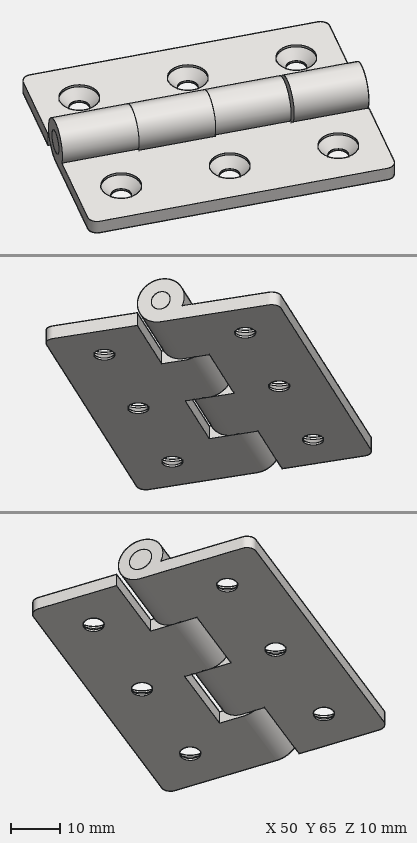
import cadquery as cq


hinge_length = 65.0
hinge_width = 50.0
leaf_thickness = 3.0
corner_radius = 2.0

knuckle_diameter = 10.0
knuckle_radius = knuckle_diameter / 2
axis_height = knuckle_radius

front_end = -hinge_length / 2
back_end = hinge_length / 2
front_joint = -hinge_length / 4
middle_joint = 0.0
back_joint = 16.0
lift_gap = 0.65
back_knuckle_start = back_joint + lift_gap

right_knuckles = [(front_end, front_joint), (middle_joint, back_joint)]
left_knuckles = [(front_joint, middle_joint), (back_knuckle_start, back_end)]

right_notches = [(front_joint, middle_joint), (back_joint, back_end)]
left_notches = [(front_end, front_joint), (middle_joint, back_knuckle_start)]
right_notch_depth = knuckle_radius
left_notch_depth = 5.4

shank_diameter = 5.0
journal_diameter = 4.0

screw_hole_diameter = 4.3
screw_head_diameter = 8.3
screw_lip_depth = 0.5
screw_cone_depth = (screw_head_diameter - screw_hole_diameter) / 2
screw_x = 15.0
screw_pitch = 23.0


def axis_cylinder(diameter, start, end):
    """Cylinder on the hinge axis between two Y stations."""
    return (
        cq.Workplane("XZ", origin=(0, start, axis_height))
        .circle(diameter / 2)
        .extrude(start - end)
    )


def screw_hole(x, y):
    """Cutter for a through hole with a 90 degree countersink below a short straight lip."""
    hole_radius = screw_hole_diameter / 2
    head_radius = screw_head_diameter / 2
    cone_top = leaf_thickness - screw_lip_depth
    return (
        cq.Workplane("XZ")
        .polyline([
            (0, 0),
            (hole_radius, 0),
            (hole_radius, cone_top - screw_cone_depth),
            (head_radius, cone_top),
            (head_radius, leaf_thickness),
            (0, leaf_thickness),
        ])
        .close()
        .revolve(360, (0, 0), (0, 1))
        .translate((x, y, 0))
    )


def make_plate(side):
    """Flat plate from the hinge axis outwards; side is +1 for right, -1 for left."""
    plate_width = hinge_width / 2
    outer_edges = "|Z and >X" if side > 0 else "|Z and <X"
    return (
        cq.Workplane("XY")
        .box(plate_width, hinge_length, leaf_thickness, centered=(True, True, False))
        .translate((side * plate_width / 2, 0, 0))
        .edges(outer_edges)
        .fillet(corner_radius)
    )


def make_leaf(side, knuckles, notches, notch_depth, bore_diameter):
    """Leaf with its notches, bored knuckles and screw holes."""
    leaf = make_plate(side)
    for start, end in notches:
        notch = (
            cq.Workplane("XY")
            .box(2 * notch_depth, end - start, leaf_thickness, centered=(True, False, False))
            .translate((0, start, 0))
        )
        leaf = leaf.cut(notch)
    for start, end in knuckles:
        leaf = leaf.union(axis_cylinder(knuckle_diameter, start, end))
    for start, end in knuckles:
        leaf = leaf.cut(axis_cylinder(bore_diameter, start, end))
    for y in (-screw_pitch, 0, screw_pitch):
        leaf = leaf.cut(screw_hole(side * screw_x, y))
    return leaf


def make_pin(start, shoulder, end):
    """Stepped pin: thick shank up to the shoulder, thinner journal beyond it."""
    shank = axis_cylinder(shank_diameter, start, shoulder)
    journal = axis_cylinder(journal_diameter, shoulder, end)
    return shank.union(journal)


right_leaf = make_leaf(1, right_knuckles, right_notches, right_notch_depth, shank_diameter)
left_leaf = make_leaf(-1, left_knuckles, left_notches, left_notch_depth, journal_diameter)

pins = []
for right_knuckle, left_knuckle in zip(right_knuckles, left_knuckles):
    pin_start, pin_shoulder = right_knuckle
    pin_end = left_knuckle[1]
    pins.append(make_pin(pin_start, pin_shoulder, pin_end).val())

result = cq.Compound.makeCompound([right_leaf.solids().val(), left_leaf.solids().val(), *pins])